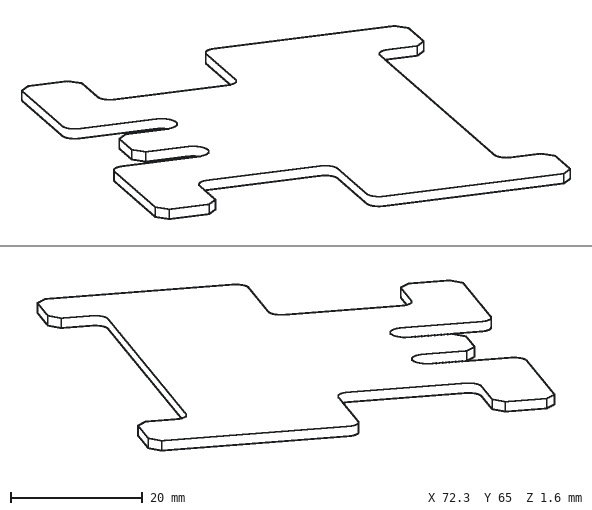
import cadquery as cq

plate_width = 72.3
plate_length = 65.0
thickness = 1.6

prong_width = 9.8
notch_depth = 8.45
body_length = 32.9

waist_width = 39.55
feet_span = 60.3
foot_height = 9.75

slots_span = 18.3
tongue_width = 8.7
slot_top = 16.8
tongue_bottom = 6.0

corner_chamfer = 1.65
corner_radius = 2.0

half_plate = plate_width / 2
half_waist = waist_width / 2
half_feet = feet_span / 2
half_slots = slots_span / 2
half_tongue = tongue_width / 2
prong_inner = half_plate - prong_width
notch_bottom = plate_length - notch_depth
body_bottom = plate_length - body_length
slot_width = half_slots - half_tongue
slot_radius = slot_width / 2
slot_centre_x = half_tongue + slot_radius


def half_blank():
    """Sharp-cornered +X half of the plate, before the slot is cut beside the tongue."""
    outline = [
        (0, notch_bottom),
        (prong_inner, notch_bottom),
        (prong_inner, plate_length),
        (half_plate, plate_length),
        (half_plate, body_bottom),
        (half_waist, body_bottom),
        (half_waist, foot_height),
        (half_feet, foot_height),
        (half_feet, 0),
        (half_slots, 0),
        (half_slots, tongue_bottom),
        (0, tongue_bottom),
    ]
    return cq.Workplane("XY").polyline(outline).close().extrude(thickness)


def slot_cutter():
    """Round-ended slot beside the tongue, running out through the lower edge."""
    slot_shoulder = slot_top - slot_radius
    return (
        cq.Workplane("XY")
        .moveTo(half_tongue, 0)
        .lineTo(half_tongue, slot_shoulder)
        .threePointArc((slot_centre_x, slot_top), (half_slots, slot_shoulder))
        .lineTo(half_slots, 0)
        .close()
        .extrude(thickness)
    )


def edges_at(solid, points):
    """Select the vertical edges that pass through the given XY points."""
    selected = solid.newObject([])
    for x, y in points:
        nearest = cq.selectors.NearestToPointSelector((x, y, thickness / 2))
        selected = selected.add(solid.edges(nearest))
    return selected


chamfered_corners = [
    (prong_inner, plate_length),
    (half_plate, plate_length),
    (half_feet, foot_height),
    (half_feet, 0),
    (half_tongue, tongue_bottom),
]
rounded_corners = [
    (prong_inner, notch_bottom),
    (half_plate, body_bottom),
    (half_waist, body_bottom),
    (half_waist, foot_height),
    (half_slots, 0),
]

half = half_blank().cut(slot_cutter())
half = edges_at(half, chamfered_corners).chamfer(corner_chamfer)
half = edges_at(half, rounded_corners).fillet(corner_radius)

result = (
    half.union(half.mirror("YZ"))
    .clean()
    .translate((0, -plate_length / 2, -thickness / 2))
)